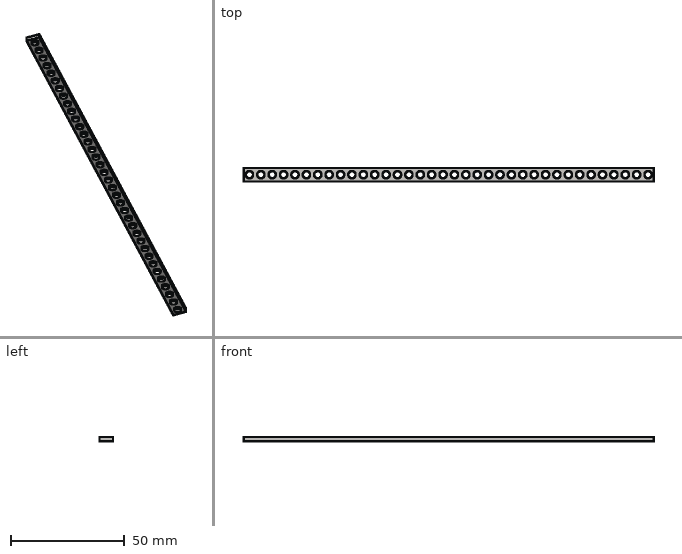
import cadquery as cq

bar_length = 180.0
bar_width = 6.0
bar_thickness = 2.0

hole_diameter = 3.1
hole_pitch = 5.0
hole_count = round(bar_length / hole_pitch)


def make_bar():
    """Plain rectangular strip."""
    return cq.Workplane("XY").box(bar_length, bar_width, bar_thickness)


def drill_hole_row(bar):
    """Drill evenly spaced holes, leaving half a pitch at each end."""
    return bar.faces(">Z").workplane().rarray(hole_pitch, hole_pitch, hole_count, 1).hole(hole_diameter)


result = drill_hole_row(make_bar())